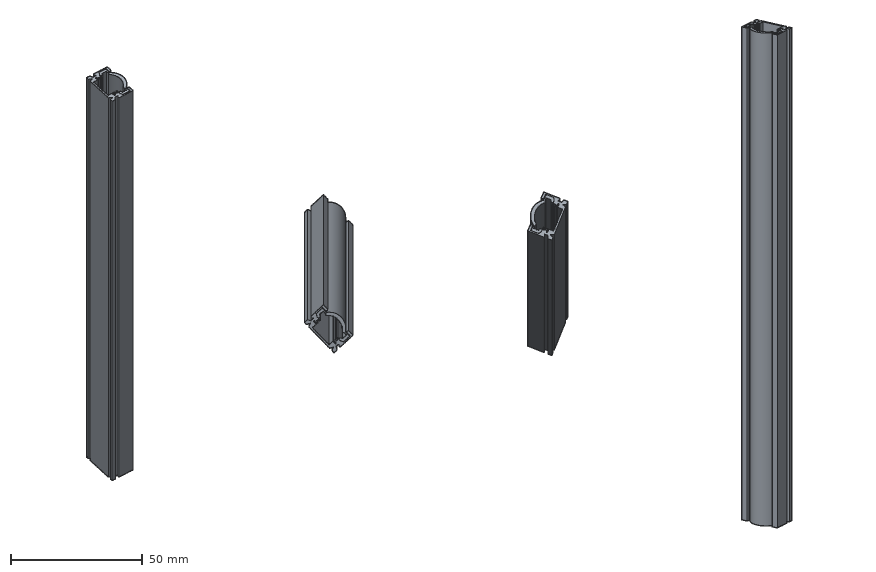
import cadquery as cq

length = 200.0
width = 16.5
channel_height = 10.0
overall_height = 11.5
half_width = width / 2

floor_thickness = 0.8
wall_thickness = 0.5
wall_inner_x = half_width - wall_thickness
cavity_half_width = 4.5
lip_top_x = 5.8
lip_tip_x = 5.5
lip_bottom_y = 9.0
shelf_y = 5.0
strip_slot_top = 4.5
strip_slot_bottom = 3.8
strip_slot_x = 5.5
narrow_slot_top = 3.2
narrow_slot_bottom = 2.8
narrow_slot_x = 6.0
side_groove_bottom = 2.2
foot_edge_y = 1.5
side_groove_mouth_top = 2.8
lip_corner_radius = 0.5
side_groove_top = 3.5
side_groove_x = 7.0
foot_groove_inner_x = 5.8
foot_groove_outer_x = 7.0
foot_groove_depth = 1.5

leg_thickness = 1.2
leg_inner_x = wall_inner_x - leg_thickness
toe_x = 5.5
toe_height = 1.0
leg_top_y = 8.8
toe_slope_height = 0.5
toe_top_rise = 0.2
neck_bottom_y = 8.2
dome_outer_x = 5.2
neck_x = 5.2
dome_inner_x = 4.5
dome_end_y = 7.8
dome_thickness = 1.5


def mirror_x(points):
    """The same points on the -X side, in reverse order."""
    return [(-x, y) for x, y in reversed(points)]


def make_channel():
    """U-shaped channel with lips at the top, strip slots and grooved feet."""
    right_half = [
        (foot_groove_inner_x, 0),
        ((foot_groove_inner_x + foot_groove_outer_x) / 2, foot_groove_depth),
        (foot_groove_outer_x, 0),
        (half_width, 0),
        (half_width, foot_edge_y),
        (side_groove_x, side_groove_bottom),
        (side_groove_x, side_groove_top),
        (half_width, side_groove_mouth_top),
        (half_width, channel_height),
        (lip_top_x, channel_height),
        (lip_tip_x, lip_bottom_y),
        (wall_inner_x, lip_bottom_y),
        (wall_inner_x, shelf_y + toe_slope_height),
        (leg_inner_x, shelf_y),
        (cavity_half_width, shelf_y),
        (cavity_half_width, strip_slot_top),
        (strip_slot_x, strip_slot_top),
        (strip_slot_x, strip_slot_bottom),
        (cavity_half_width, strip_slot_bottom),
        (cavity_half_width, narrow_slot_top),
        (narrow_slot_x, narrow_slot_top),
        (narrow_slot_x, narrow_slot_bottom),
        (cavity_half_width, narrow_slot_bottom),
        (cavity_half_width, floor_thickness),
    ]
    outline = right_half + mirror_x(right_half)
    body = cq.Workplane("XY").polyline(outline).close().extrude(length)
    lower_wall_corners = [(side * half_width, side_groove_mouth_top, length / 2) for side in (1, -1)]
    for corner in lower_wall_corners:
        body = body.edges(cq.NearestToPointSelector(corner)).fillet(lip_corner_radius)
    return body


def make_cover():
    """Domed cover whose two legs clip under the lips of the channel."""
    right_leg = [
        (dome_outer_x, leg_top_y),
        (wall_inner_x, leg_top_y),
        (wall_inner_x, shelf_y + toe_slope_height),
        (leg_inner_x, shelf_y),
        (toe_x, shelf_y),
        (toe_x, shelf_y + toe_height),
        (leg_inner_x, shelf_y + toe_height + toe_top_rise),
        (leg_inner_x, neck_bottom_y),
        (neck_x, neck_bottom_y),
        (dome_inner_x, dome_end_y),
    ]
    left_leg = mirror_x(right_leg)
    profile = cq.Workplane("XY").moveTo(*right_leg[0])
    for point in right_leg[1:]:
        profile = profile.lineTo(*point)
    profile = profile.threePointArc((0, overall_height - dome_thickness), left_leg[0])
    for point in left_leg[1:]:
        profile = profile.lineTo(*point)
    profile = profile.threePointArc((0, overall_height), right_leg[0])
    return profile.close().extrude(length)


channel = make_channel()
cover = make_cover()

result = cq.Compound.makeCompound([channel.val(), cover.val()])